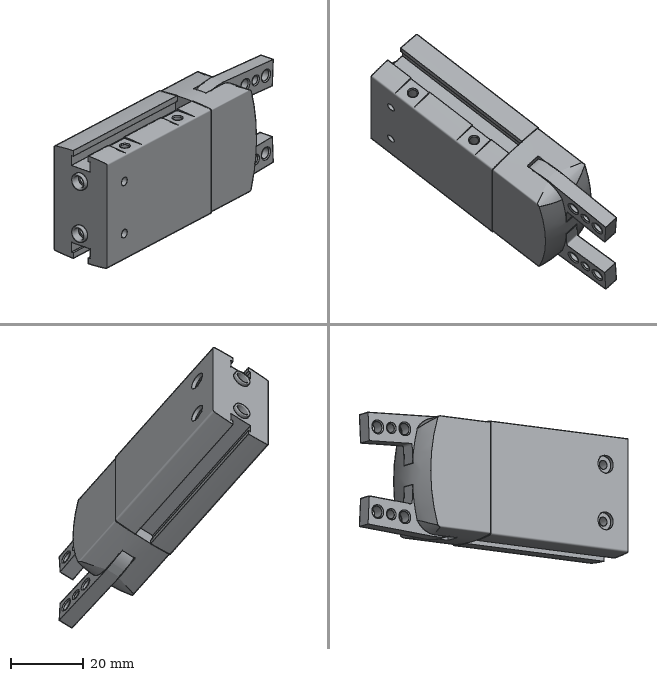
import cadquery as cq
import math


body_width = 19.0
body_height = 33.2
body_length = 45.5
body_crown_radius = 80.0
body_corner_radius = 0.6

head_inset = 0.15
head_crown_radius = 60.0
head_corner_radius = 0.45
dome_tip_y = 66.85
dome_side_radius = 52.0
dome_plan_radius = 30.0
nose_radius = 7.0
nose_center_y = 59.07
nose_sweep = math.radians(66.0)

slot_mouth_width = 5.3
slot_inner_width = 6.7
slot_lip_z = 14.8
slot_floor_z = 11.8

port_x = 5.75
port_ys = (12.25, 35.25)
port_drill_diameter = 2.46
port_chamfer = 0.3
port_depth = 5.0
port_flat_length = 7.0
port_flat_z = 16.1

mount_pitch = 16.0
centring_diameter = 5.0
centring_depth = 1.2
side_hole_y = 7.5
side_hole_diameter = 2.5
rear_thread_diameter = 2.46
rear_thread_depth = 8.0

sleeve_bore = 3.6
sleeve_projection = 1.1

jaw_thickness = 4.4
jaw_angle = math.radians(3.0)
jaw_kink_y = 59.35
jaw_kink_z = 16.935
finger_length = 22.1
finger_depth = 8.0
finger_step = 7.9
step_fillet = 0.5
shoulder_y = 56.85
shoulder_z = 16.75
root_radius = 9.0
root_center_y = 57.55
root_inner_z = 3.0
jaw_pocket_y = 52.0

jaw_hole_start = 3.0
jaw_hole_pitch = 4.5
jaw_hole_diameters = (3.2, 2.46, 3.2)
jaw_hole_chamfer = 0.35


def box(x_range, y_range, z_range):
    """Box between pairs of limits along the three axes."""
    ranges = (x_range, y_range, z_range)
    size = [high - low for low, high in ranges]
    center = [(low + high) / 2 for low, high in ranges]
    return cq.Workplane("XY").box(*size).translate(tuple(center))


def cylinder(diameter, length, start, direction):
    """Cylinder from a start point along a direction."""
    return cq.Workplane(cq.Solid.makeCylinder(diameter / 2, length, cq.Vector(*start), cq.Vector(*direction)))


def chamfered_hole(diameter, chamfer, depth, start, direction):
    """Cutter for a hole whose mouth at the start point is chamfered."""
    mouth = cq.Solid.makeCone(
        diameter / 2 + chamfer, diameter / 2, chamfer, cq.Vector(*start), cq.Vector(*direction)
    )
    return cylinder(diameter, depth, start, direction).union(cq.Workplane(mouth))


def crowned_prism(inset, crown_radius, corner_radius, y_start, y_end):
    """Prism along Y with flat sides, crowned top and bottom and rounded corners."""
    half_width = body_width / 2 - inset
    crown_z = body_height / 2 - inset
    side_z = crown_z - crown_radius + math.sqrt(crown_radius**2 - half_width**2)
    return (
        cq.Workplane("XZ", origin=(0, y_start, 0))
        .moveTo(-half_width, -side_z)
        .lineTo(-half_width, side_z)
        .threePointArc((0, crown_z), (half_width, side_z))
        .lineTo(half_width, -side_z)
        .threePointArc((0, -crown_z), (-half_width, -side_z))
        .close()
        .extrude(y_start - y_end)
        .edges("|Y")
        .fillet(corner_radius)
    )


def dome_envelope():
    """Turned solid whose outer face curves the head front in plan and in side view."""
    half_width = body_width
    turn_y = dome_tip_y - dome_side_radius
    edge_y = dome_tip_y - dome_plan_radius + math.sqrt(dome_plan_radius**2 - half_width**2)
    return (
        cq.Workplane("XY")
        .moveTo(-half_width, turn_y)
        .lineTo(-half_width, edge_y)
        .threePointArc((0, dome_tip_y), (half_width, edge_y))
        .lineTo(half_width, turn_y)
        .close()
        .revolve(360, (0, turn_y, 0), (1, turn_y, 0))
    )


def nose_envelope():
    """Prism along X that rounds the top and bottom faces down to the dome."""
    top_z = body_height / 2 - head_inset

    def arc_point(angle):
        return (
            nose_center_y + nose_radius * math.sin(angle),
            top_z - nose_radius * (1 - math.cos(angle)),
        )

    arc_end_y, arc_end_z = arc_point(nose_sweep)
    front_z = arc_end_z - (dome_tip_y - arc_end_y) * math.tan(nose_sweep)
    upper_half = (
        cq.Workplane("YZ", origin=(-body_width, 0, 0))
        .moveTo(body_length, 0)
        .lineTo(body_length, top_z)
        .lineTo(nose_center_y, top_z)
        .threePointArc(arc_point(nose_sweep / 2), (arc_end_y, arc_end_z))
        .lineTo(dome_tip_y, front_z)
        .lineTo(dome_tip_y, 0)
        .close()
        .extrude(2 * body_width)
    )
    return upper_half.union(upper_half.mirror("XY"))


def t_slot():
    """Cutter for the T-slot along the top of the body."""
    half_mouth = slot_mouth_width / 2
    half_inner = slot_inner_width / 2
    mouth = box((-half_mouth, half_mouth), (0, body_length), (slot_floor_z, body_height))
    inner = box((-half_inner, half_inner), (0, body_length), (slot_floor_z, slot_lip_z))
    return mouth.union(inner)


def air_port(y):
    """Cutter for a flat seat beside the T-slot with a threaded port in it."""
    half_length = port_flat_length / 2
    seat = box((0, body_width / 2), (y - half_length, y + half_length), (port_flat_z, body_height))
    port = chamfered_hole(port_drill_diameter, port_chamfer, port_depth, (port_x, y, port_flat_z), (0, 0, -1))
    return seat.union(port)


def side_hole(z):
    """Cutter for a through hole along X, counterbored for a centring sleeve on the -X side."""
    start = (-body_width / 2, side_hole_y, z)
    through = cylinder(side_hole_diameter, body_width, start, (1, 0, 0))
    return through.union(cylinder(centring_diameter, centring_depth, start, (1, 0, 0)))


def rear_hole(z):
    """Cutter for a sleeve seat with a threaded hole behind it."""
    start = (0, 0, z)
    thread = cylinder(rear_thread_diameter, rear_thread_depth, start, (0, 1, 0))
    return thread.union(cylinder(centring_diameter, centring_depth, start, (0, 1, 0)))


def jaw_pocket():
    """Cutter for the slot in the upper half of the head that holds a jaw."""
    half_thickness = jaw_thickness / 2
    return box((-half_thickness, half_thickness), (jaw_pocket_y, dome_tip_y), (root_inner_z, body_height))


def build_housing():
    head = crowned_prism(head_inset, head_crown_radius, head_corner_radius, body_length, dome_tip_y)
    head = head.intersect(dome_envelope()).intersect(nose_envelope())
    housing = crowned_prism(0, body_crown_radius, body_corner_radius, 0, body_length).union(head)
    for cutter in (t_slot(), jaw_pocket()):
        housing = housing.cut(cutter).cut(cutter.mirror("XY"))
    for y in port_ys:
        housing = housing.cut(air_port(y))
    for z in (-mount_pitch / 2, mount_pitch / 2):
        housing = housing.cut(side_hole(z)).cut(rear_hole(z))
    return housing


def jaw_point(along, across):
    """YZ position of a point given along and across the tilted finger, from the kink."""
    return (
        jaw_kink_y + along * math.cos(jaw_angle) + across * math.sin(jaw_angle),
        jaw_kink_z - along * math.sin(jaw_angle) + across * math.cos(jaw_angle),
    )


def build_upper_jaw():
    half_thickness = jaw_thickness / 2
    root_center_z = shoulder_z - math.sqrt(root_radius**2 - (root_center_y - shoulder_y) ** 2)

    def root_arc_z(y):
        return root_center_z + math.sqrt(root_radius**2 - (y - root_center_y) ** 2)

    arc_middle_y = (shoulder_y + jaw_pocket_y) / 2
    step_y, step_z = jaw_point(finger_step, -finger_depth)
    step_foot_y = step_y - (step_z - root_inner_z) * math.tan(jaw_angle)
    jaw = (
        cq.Workplane("YZ", origin=(-half_thickness, 0, 0))
        .moveTo(jaw_kink_y, jaw_kink_z)
        .lineTo(*jaw_point(finger_length, 0))
        .lineTo(*jaw_point(finger_length, -finger_depth))
        .lineTo(step_y, step_z)
        .lineTo(step_foot_y, root_inner_z)
        .lineTo(jaw_pocket_y, root_inner_z)
        .lineTo(jaw_pocket_y, root_arc_z(jaw_pocket_y))
        .threePointArc((arc_middle_y, root_arc_z(arc_middle_y)), (shoulder_y, shoulder_z))
        .close()
        .extrude(jaw_thickness)
    )
    jaw = jaw.edges(cq.selectors.NearestToPointSelector((0, step_y, step_z))).fillet(step_fillet)
    for index, diameter in enumerate(jaw_hole_diameters):
        along = finger_length - jaw_hole_start - index * jaw_hole_pitch
        y, z = jaw_point(along, -finger_depth / 2)
        for side in (-1, 1):
            start = (side * half_thickness, y, z)
            jaw = jaw.cut(chamfered_hole(diameter, jaw_hole_chamfer, jaw_thickness, start, (-side, 0, 0)))
    return jaw


def build_sleeve(z):
    """Centring sleeve, seated in the rear face, with a fully rounded rim on its projecting end."""
    outer = centring_diameter / 2
    inner = sleeve_bore / 2
    rim_radius = (outer - inner) / 2
    rim_y = rim_radius - sleeve_projection
    return (
        cq.Workplane("XY", origin=(0, 0, z))
        .moveTo(inner, centring_depth)
        .lineTo(inner, rim_y)
        .threePointArc(((inner + outer) / 2, -sleeve_projection), (outer, rim_y))
        .lineTo(outer, centring_depth)
        .close()
        .revolve(360, (0, 0, 0), (0, 1, 0))
    )


housing = build_housing()
upper_jaw = build_upper_jaw()
jaws = [upper_jaw, upper_jaw.mirror("XY")]
sleeves = [build_sleeve(z) for z in (-mount_pitch / 2, mount_pitch / 2)]

result = cq.Compound.makeCompound([body.val() for body in [housing, *jaws, *sleeves]])